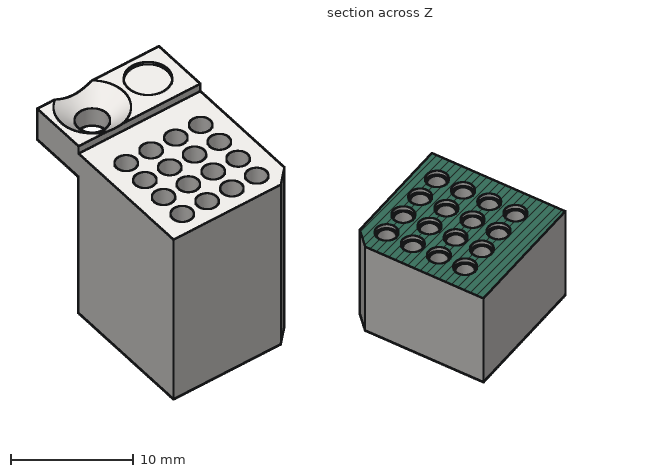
import cadquery as cq

total_length = 18.54
width = 12.45
total_height = 18.67

flange_length = 5.64
flange_thickness = 3.45
flange_rise = 0.82
flange_bottom = total_height - flange_thickness

block_start = 5.56
block_length = total_length - block_start
block_height = total_height - flange_rise
corner_chamfer = 1.5

grid_count = 4
grid_pitch = 2.54
grid_center_x = 12.7
grid_center_y = width / 2
socket_diameter = 1.92
socket_depth = block_height / 2
through_diameter = 1.6

flange_feature_x = 2.55
screw_y = 3.72
screw_diameter = 2.91
countersink_diameter = 6.35
countersink_angle = 98.0
pin_y = 9.41

head_diameter = 3.95
head_height = 1.0
head_recess = 0.26
shank_diameter = 3.0
tip_diameter = 1.27
exposed_shank = 2.73
tip_length = 1.53
seat_diameter = 3.98
bore_diameter = 3.02
head_top = total_height - head_recess
shoulder_z = head_top - head_height


def make_blank():
    """Chamfered block with the overhanging flange."""
    block = (
        cq.Workplane("XY")
        .box(block_length, width, block_height, centered=False)
        .translate((block_start, 0, 0))
        .edges("|Z and >X and >Y")
        .chamfer(corner_chamfer)
    )
    flange = (
        cq.Workplane("XY", origin=(0, 0, flange_bottom))
        .box(flange_length, width, flange_thickness, centered=False)
    )
    return block.union(flange)


def cut_hole_grid(body):
    """Stepped holes, wider at the top, through the full block height."""
    return (
        body.copyWorkplane(cq.Workplane("XY", origin=(grid_center_x, grid_center_y, block_height)))
        .rarray(grid_pitch, grid_pitch, grid_count, grid_count)
        .cboreHole(through_diameter, socket_diameter, socket_depth)
    )


def cut_screw_hole(body):
    """Countersunk screw hole through the flange."""
    return (
        body.copyWorkplane(cq.Workplane("XY", origin=(flange_feature_x, screw_y, total_height)))
        .cskHole(screw_diameter, countersink_diameter, countersink_angle, flange_thickness)
    )


def cut_pin_seat(body):
    """Counterbored hole through the flange for the headed pin."""
    seat_depth = total_height - shoulder_z
    return (
        body.copyWorkplane(cq.Workplane("XY", origin=(flange_feature_x, pin_y, total_height)))
        .cboreHole(bore_diameter, seat_diameter, seat_depth, flange_thickness)
    )


def make_pin():
    """Headed pin with a tapered tip, revolved about its own axis."""
    shank_end = flange_bottom - exposed_shank
    tip_end = shank_end - tip_length
    profile = [
        (0, tip_end),
        (tip_diameter / 2, tip_end),
        (shank_diameter / 2, shank_end),
        (shank_diameter / 2, shoulder_z),
        (head_diameter / 2, shoulder_z),
        (head_diameter / 2, head_top),
        (0, head_top),
    ]
    return (
        cq.Workplane("XZ")
        .polyline(profile)
        .close()
        .revolve(360, (0, 0, 0), (0, 1, 0))
        .translate((flange_feature_x, pin_y, 0))
    )


housing = cut_pin_seat(cut_screw_hole(cut_hole_grid(make_blank())))
pin = make_pin()

result = cq.Compound.makeCompound([housing.val(), pin.val()])